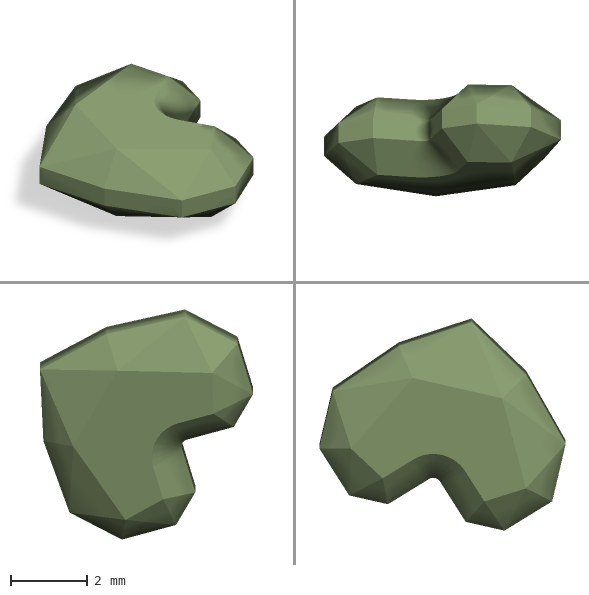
import cadquery as cq

WIDTH = 6.26
LENGTH = 5.22
THICKNESS = 2.09

LOBE_INNER_X = WIDTH / 6
LOBE_CORNER = WIDTH / 6
SHOULDER_Y = 0.0
FLANK_X = 1.71
FLANK_Y = -1.565
NOTCH_RADIUS = 0.205

BEVEL = 0.78
CUTTER_SIZE = 3 * WIDTH

half_width = WIDTH / 2
lobe_y = LENGTH / 2
tip = (0, -lobe_y)
notch_y = lobe_y - LOBE_INNER_X

lobe_inner = (-LOBE_INNER_X, lobe_y)
lobe_outer = (-(half_width - LOBE_CORNER), lobe_y)
side_top = (-half_width, lobe_y - LOBE_CORNER)
side_bottom = (-half_width, SHOULDER_Y)
flank = (-FLANK_X, FLANK_Y)

left_outline = [(0, notch_y), lobe_inner, lobe_outer, side_top, side_bottom, flank, tip]
right_outline = [(-x, y) for x, y in reversed(left_outline[1:-1])]


def inset_corner(before, corner, after):
    """Corner of the flat face: the outline corner moved in by the bevel."""
    edge_in = (cq.Vector(*corner) - cq.Vector(*before)).normalized()
    edge_out = (cq.Vector(*after) - cq.Vector(*corner)).normalized()
    up = cq.Vector(0, 0, 1)
    normal_in = up.cross(edge_in)
    normal_out = up.cross(edge_out)
    shift = (normal_in + normal_out) * (BEVEL / (1 + normal_in.dot(normal_out)))
    return cq.Vector(*corner) + shift + up * (THICKNESS / 2)


def facet_cutter(rim_corner, face_start, face_end):
    """Block lying outside the plane through a rim corner and two face corners."""
    rim_point = cq.Vector(*rim_corner, THICKNESS / 2 - BEVEL)
    along = face_end - face_start
    outward = along.cross(face_start - rim_point)
    if outward.z < 0:
        outward = -outward
    plane = cq.Plane(origin=rim_point, xDir=along, normal=outward)
    return cq.Workplane(plane).rect(CUTTER_SIZE, CUTTER_SIZE).extrude(CUTTER_SIZE)


body = (
    cq.Workplane("XY", origin=(0, 0, -THICKNESS / 2))
    .polyline(left_outline + right_outline)
    .close()
    .extrude(THICKNESS)
    .edges(cq.NearestToPointSelector((0, notch_y, 0)))
    .fillet(NOTCH_RADIUS)
    .faces("<Z or >Z")
    .chamfer(BEVEL)
)

lobe_point = inset_corner((0, notch_y), lobe_inner, lobe_outer)
side_point = inset_corner(lobe_outer, side_top, side_bottom)
flank_point = inset_corner(side_bottom, flank, tip)
opposite_flank_point = cq.Vector(-flank_point.x, flank_point.y, flank_point.z)

lobe_cutter = facet_cutter(lobe_outer, lobe_point, side_point)
side_cutter = facet_cutter(side_bottom, side_point, flank_point)
tip_cutter = facet_cutter(tip, flank_point, opposite_flank_point)

upper_cutters = [tip_cutter]
for cutter in (lobe_cutter, side_cutter):
    upper_cutters += [cutter, cutter.mirror("YZ")]

result = body
for cutter in upper_cutters:
    result = result.cut(cutter).cut(cutter.mirror("XY"))